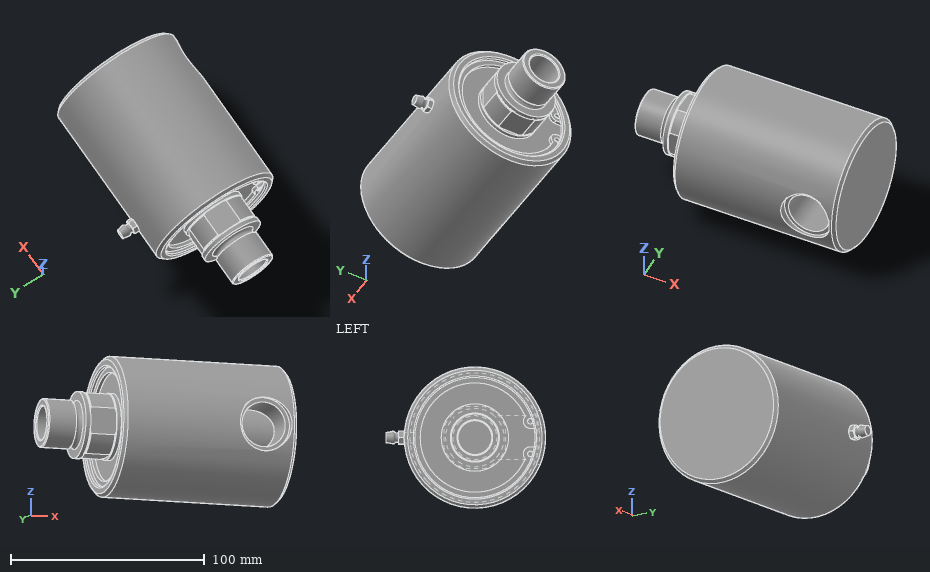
import cadquery as cq
import math


total_length = 127.5
housing_front = 33.5
housing_radius = 73.0 / 2
housing_chamfer = 1.8

recess_radius = 62.1 / 2
lip_depth = 2.3
lip_chamfer = 0.8

ring_outer_radius = 66.9 / 2
ring_inner_radius = 56.5 / 2
ring_thickness = 2.0
ring_front = housing_front + lip_depth
lug_radius = 3.63
lug_hole_diameter = 2.8
lug_half_spacing = 8.4
lug_center_radius = ring_outer_radius - lug_radius
lug_offset = math.sqrt(lug_center_radius**2 - lug_half_spacing**2)
ring_half_gap = lug_half_spacing - lug_radius
recess_floor = ring_front + ring_thickness

thread_radius = 25.4 / 2
thread_length = 15.0
thread_tip_chamfer = 0.5
undercut_radius = 22.7 / 2
undercut_start = 15.4
undercut_start_radius = 12.0
undercut_bottom = 16.5
undercut_end = 17.6
undercut_end_radius = 11.6
flange_start = 18.6
flange_end = 21.3
flange_radius = 34.8 / 2
wrench_end = 35.6
wrench_width = 31.9
wrench_chamfer = 0.6
journal_radius = 30.2 / 2
journal_end = 122.4
shaft_bore_radius = 17.5 / 2
shaft_bore_chamfer = 0.5

port_x = 110.4
port_seat_diameter = 28.0
port_seat_depth = 4.5
port_mouth_diameter = 23.5
port_diameter = 22.7
port_taper_length = 13.0

nipple_x = 54.4
nipple_height = 9.4
nipple_shank_radius = 5.4 / 2
nipple_shank_depth = 5.1
hexagon_width = 7.0
hexagon_height = 2.9
hexagon_chamfer = 0.4
neck_base_radius = 2.8
neck_radius = 2.4
neck_height = 3.7
bulge_bottom_height = 4.7
bulge_bottom_radius = 2.8
bulge_radius = 6.6 / 2
bulge_height = 5.6
cone_base_height = 6.2
cone_base_radius = 3.2
tip_radius = 5.4 / 2
tip_band_height = 0.4


def x_cylinder(radius, start, end):
    """A solid cylinder on the X axis between two X positions."""
    return cq.Workplane("YZ").workplane(offset=start).circle(radius).extrude(end - start)


def revolve_about_x(profile):
    """Close an XY profile that starts and ends on the X axis and turn it into a solid."""
    return profile.close().revolve(360, (0, 0, 0), (1, 0, 0))


def make_port():
    """Cutter for the side port: flat seat, tapered mouth and straight hole to the shaft."""
    seat_plane = cq.Workplane("XZ", origin=(port_x, -housing_radius + port_seat_depth, 0))
    seat = seat_plane.circle(port_seat_diameter / 2).extrude(port_seat_depth)
    taper = (
        seat_plane.circle(port_mouth_diameter / 2)
        .workplane(offset=-port_taper_length)
        .circle(port_diameter / 2)
        .loft()
    )
    straight = seat_plane.circle(port_diameter / 2).extrude(port_seat_depth - housing_radius)
    return seat.union(taper).union(straight)


def make_housing():
    housing = x_cylinder(housing_radius, housing_front, total_length).edges().chamfer(housing_chamfer)

    recess = (
        cq.Workplane("XY")
        .moveTo(housing_front, 0)
        .lineTo(housing_front, recess_radius + lip_chamfer)
        .lineTo(housing_front + lip_chamfer, recess_radius)
        .lineTo(ring_front, recess_radius)
        .lineTo(ring_front, ring_outer_radius)
        .lineTo(recess_floor, ring_outer_radius)
        .lineTo(recess_floor, journal_radius)
        .lineTo(journal_end, journal_radius)
        .lineTo(journal_end, 0)
    )
    nipple_hole = (
        cq.Workplane("XZ", origin=(nipple_x, housing_radius, 0))
        .circle(nipple_shank_radius)
        .extrude(nipple_shank_depth)
    )
    return housing.cut(revolve_about_x(recess)).cut(make_port()).cut(nipple_hole)


def make_shaft():
    threaded_end = revolve_about_x(
        cq.Workplane("XY")
        .lineTo(0, thread_radius - thread_tip_chamfer)
        .lineTo(thread_tip_chamfer, thread_radius)
        .lineTo(thread_length, thread_radius)
        .lineTo(undercut_start, undercut_start_radius)
        .threePointArc((undercut_bottom, undercut_radius), (undercut_end, undercut_end_radius))
        .lineTo(flange_start, thread_radius)
        .lineTo(flange_start, 0)
    )
    flange = x_cylinder(flange_radius, flange_start, flange_end)

    wrench_round = x_cylinder(flange_radius, flange_end, wrench_end).edges().chamfer(wrench_chamfer)
    wrench_square = (
        cq.Workplane("YZ")
        .workplane(offset=flange_end)
        .rect(wrench_width, wrench_width)
        .extrude(wrench_end - flange_end)
    )
    wrench = wrench_round.intersect(wrench_square)

    collar = x_cylinder(flange_radius, wrench_end, recess_floor)
    journal = x_cylinder(journal_radius, recess_floor, journal_end)
    bore = revolve_about_x(
        cq.Workplane("XY")
        .lineTo(0, shaft_bore_radius + shaft_bore_chamfer)
        .lineTo(shaft_bore_chamfer, shaft_bore_radius)
        .lineTo(journal_end, shaft_bore_radius)
        .lineTo(journal_end, 0)
    )
    return threaded_end.union(flange).union(wrench).union(collar).union(journal).cut(bore)


def make_retaining_ring():
    """Open ring whose two lugs, each with a plier hole, flank a gap on the -Y side."""
    ring_plane = cq.Workplane("YZ").workplane(offset=ring_front)
    lug_centers = [(-lug_offset, side * lug_half_spacing) for side in (-1, 1)]

    band = ring_plane.circle(ring_outer_radius).circle(ring_inner_radius).extrude(ring_thickness)
    lugs = ring_plane.pushPoints(lug_centers).circle(lug_radius).extrude(ring_thickness)
    lug_roots = (
        ring_plane.center(-lug_offset, 0)
        .rect(-ring_outer_radius, 2 * lug_half_spacing, centered=(False, True))
        .extrude(ring_thickness)
        .intersect(x_cylinder(ring_outer_radius, ring_front, recess_floor))
    )
    gap = (
        ring_plane.rect(-ring_outer_radius, 2 * ring_half_gap, centered=(False, True))
        .extrude(ring_thickness)
    )
    holes = ring_plane.pushPoints(lug_centers).circle(lug_hole_diameter / 2).extrude(ring_thickness)
    return band.union(lugs).union(lug_roots).cut(gap).cut(holes)


def make_grease_nipple():
    """Nipple built along +Z from its seat, then turned to +Y and moved onto the housing."""
    corner_radius = hexagon_width / math.sqrt(3)
    hexagon = cq.Workplane("XY").polygon(6, 2 * corner_radius).extrude(hexagon_height)
    corner_rounding = (
        cq.Workplane("XY").circle(corner_radius).extrude(hexagon_height).edges().chamfer(hexagon_chamfer)
    )
    head = (
        cq.Workplane("XZ")
        .moveTo(0, hexagon_height)
        .lineTo(neck_base_radius, hexagon_height)
        .threePointArc((neck_radius, neck_height), (bulge_bottom_radius, bulge_bottom_height))
        .threePointArc((bulge_radius, bulge_height), (cone_base_radius, cone_base_height))
        .lineTo(tip_radius, nipple_height - tip_band_height)
        .lineTo(tip_radius, nipple_height)
        .lineTo(0, nipple_height)
        .close()
        .revolve(360, (0, 0, 0), (0, 1, 0))
    )
    shank = cq.Workplane("XY").circle(nipple_shank_radius).extrude(-nipple_shank_depth)
    nipple = hexagon.intersect(corner_rounding).union(head).union(shank)
    return nipple.rotate((0, 0, 0), (1, 0, 0), -90).translate((nipple_x, housing_radius, 0))


housing = make_housing()
shaft = make_shaft()
retaining_ring = make_retaining_ring()
grease_nipple = make_grease_nipple()

result = cq.Compound.makeCompound(
    [housing.val(), shaft.val(), retaining_ring.val(), grease_nipple.val()]
)